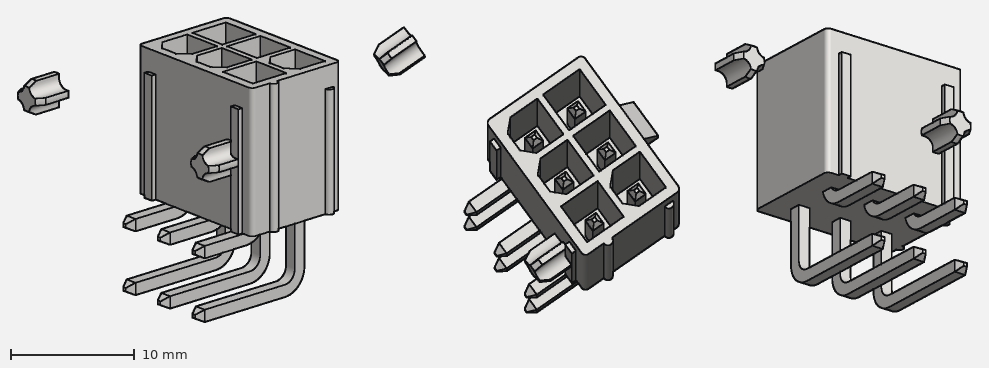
import cadquery as cq


housing_width = 13.75
housing_depth = 9.6
housing_height = 12.78
corner_radius = 0.4
front_y = -housing_depth / 2
back_y = housing_depth / 2
side_x = housing_width / 2

pitch = 4.2
column_xs = [-pitch, 0, pitch]
row_ys = [-pitch / 2, pitch / 2]

cavity_size = 3.63
cavity_chamfer = 0.95
cavity_depth = 9.97
keyed_cavities = [(0, 0), (1, 0), (2, 1)]

latch_width = 3.43
latch_reach = 1.4
latch_ramp_drop = 2.38
latch_tip_drop = 3.17
latch_root_drop = 3.1

rib_inner_x = 4.78
rib_width = 0.92
rib_thickness = 0.4
rib_height = housing_height - 2.0

ridge_radius = 0.4
front_ridge_y = -2.45
back_ridge_y = 3.58
front_ridge_height = housing_height
back_ridge_height = rib_height

pin_size = 1.07
pin_row_shift = 0.2
pin_bend_radius = 1.5 * pin_size
pin_point_length = 0.72
pin_point_size = 0.33
pin_top_z = housing_height - 3.58
pin_reach = 3.9
long_pin_drop = 6.6
short_pin_drop = long_pin_drop - 5.5
pin_drops = [short_pin_drop, long_pin_drop]

peg_radius = 1.48
peg_length = 3.25
peg_arm_half_width = 0.3
peg_flute_radius = 0.85
peg_flute_offset = peg_arm_half_width + peg_flute_radius
peg_taper_length = 0.77
peg_taper_inset = 0.4
peg_z = housing_height - 6.62
fixed_peg_x = pitch
peg_spacing = 21.0
loose_peg_x = fixed_peg_x - peg_spacing


def make_shell():
    """Rounded block that forms the housing."""
    shell = cq.Workplane("XY").box(
        housing_width, housing_depth, housing_height, centered=(True, True, False)
    )
    return shell.edges("|Z").fillet(corner_radius)


def make_cavity(x, y, keyed):
    """Cutter for one contact cavity, open at the top of the housing."""
    cavity = (
        cq.Workplane("XY", origin=(x, y, housing_height))
        .rect(cavity_size, cavity_size)
        .extrude(-cavity_depth)
    )
    if keyed:
        cavity = cavity.faces("<Y").edges("|Z").chamfer(cavity_chamfer)
    return cavity


def make_latch():
    """Ramp with a hooked underside, starting at the top edge of the back face."""
    tip_y = back_y + latch_reach
    return (
        cq.Workplane("YZ")
        .moveTo(back_y, housing_height)
        .lineTo(tip_y, housing_height - latch_ramp_drop)
        .lineTo(tip_y, housing_height - latch_tip_drop)
        .lineTo(back_y, housing_height - latch_root_drop)
        .close()
        .extrude(latch_width / 2, both=True)
    )


def make_rib(side):
    """Standoff rib; side is -1 for the left one and 1 for the right one."""
    centre_x = side * (rib_inner_x + rib_width / 2)
    centre_y = front_y - rib_thickness / 2
    return (
        cq.Workplane("XY", origin=(centre_x, centre_y, 0))
        .rect(rib_width, rib_thickness)
        .extrude(rib_height)
    )


def make_ridge(y, height):
    """Ridge rising from the bottom face; the inner half of the cylinder lies in the side wall."""
    return cq.Workplane("XY", origin=(side_x, y, 0)).circle(ridge_radius).extrude(height)


def make_pin_point(plane):
    """Tapered end of a pin, built outwards from the given plane."""
    return (
        cq.Workplane(plane)
        .rect(pin_size, pin_size)
        .workplane(offset=pin_point_length)
        .rect(pin_point_size, pin_point_size)
        .loft()
    )


def make_pin(x, y, drop):
    """Square pin: upright through the housing floor, then bent towards -Y."""
    shank_top_z = pin_top_z - pin_point_length
    tail_end_y = front_y - pin_reach + pin_point_length
    path = (
        cq.Workplane("YZ", origin=(x, 0, 0))
        .moveTo(y, shank_top_z)
        .lineTo(y, pin_bend_radius - drop)
        .radiusArc((y - pin_bend_radius, -drop), pin_bend_radius)
        .lineTo(tail_end_y, -drop)
    )
    shank = cq.Workplane("XY", origin=(x, y, shank_top_z)).rect(pin_size, pin_size).sweep(path)
    top_plane = cq.Plane(origin=(x, y, shank_top_z), xDir=(1, 0, 0), normal=(0, 0, 1))
    tail_plane = cq.Plane(origin=(x, tail_end_y, -drop), xDir=(1, 0, 0), normal=(0, -1, 0))
    return shank.union(make_pin_point(top_plane)).union(make_pin_point(tail_plane))


def make_peg(x):
    """Four-armed peg with a tapered end, pointing to -Y from the front face plane."""
    root = (x, front_y, peg_z)
    half_profile = (
        cq.Workplane("XY", origin=root)
        .lineTo(peg_radius, 0)
        .lineTo(peg_radius, peg_taper_length - peg_length)
        .lineTo(peg_radius - peg_taper_inset, -peg_length)
        .lineTo(0, -peg_length)
        .close()
    )
    peg = half_profile.revolve(360, (0, 0, 0), (0, 1, 0))
    flute = (
        cq.Workplane("XZ", origin=root)
        .moveTo(peg_arm_half_width, peg_radius)
        .lineTo(peg_arm_half_width, peg_flute_offset)
        .radiusArc((peg_flute_offset, peg_arm_half_width), -peg_flute_radius)
        .lineTo(peg_radius, peg_arm_half_width)
        .lineTo(peg_radius, peg_radius)
        .close()
        .extrude(peg_length)
    )
    axis_end = (x, front_y - peg_length, peg_z)
    for quarter in range(4):
        peg = peg.cut(flute.rotate(root, axis_end, 90 * quarter))
    return peg


def make_header():
    """Housing with its ribs, ridges, latch, pins and fixed peg as one solid."""
    header = make_shell()
    for column, x in enumerate(column_xs):
        for row, y in enumerate(row_ys):
            header = header.cut(make_cavity(x, y, (column, row) in keyed_cavities))
    header = header.union(make_latch())
    for side in (-1, 1):
        header = header.union(make_rib(side))
    header = header.union(make_ridge(front_ridge_y, front_ridge_height))
    header = header.union(make_ridge(back_ridge_y, back_ridge_height))
    for x in column_xs:
        for y, drop in zip(row_ys, pin_drops):
            header = header.union(make_pin(x, y + pin_row_shift, drop))
    return header.union(make_peg(fixed_peg_x))


header = make_header()
loose_peg = make_peg(loose_peg_x)

result = cq.Compound.makeCompound([header.val(), loose_peg.val()])